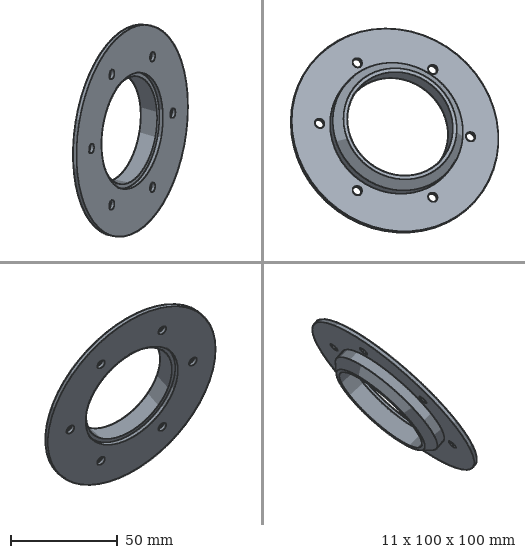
import cadquery as cq

flange_diameter = 100.0
flange_thickness = 2.0

hub_diameter = 63.0
hub_height = 9.0
hub_chamfer = 4.1
bore_diameter = 51.0

recess_diameter = 55.0
recess_depth = 2.0

hole_count = 6
hole_diameter = 4.5
hole_circle_diameter = 73.0


def make_flange():
    return cq.Workplane("YZ").circle(flange_diameter / 2).extrude(flange_thickness)


def make_hub():
    hub = cq.Workplane("YZ").circle(hub_diameter / 2).extrude(-hub_height)
    return hub.faces("<X").chamfer(hub_chamfer)


def make_bore():
    bore_length = hub_height + flange_thickness
    return cq.Workplane("YZ", origin=(-hub_height, 0, 0)).circle(bore_diameter / 2).extrude(bore_length)


def make_recess():
    recess_floor = flange_thickness - recess_depth
    return cq.Workplane("YZ", origin=(recess_floor, 0, 0)).circle(recess_diameter / 2).extrude(recess_depth)


def make_mounting_holes():
    return (
        cq.Workplane("YZ")
        .polarArray(hole_circle_diameter / 2, 0, 360, hole_count)
        .circle(hole_diameter / 2)
        .extrude(flange_thickness)
    )


result = make_flange().union(make_hub()).cut(make_bore()).cut(make_recess()).cut(make_mounting_holes())